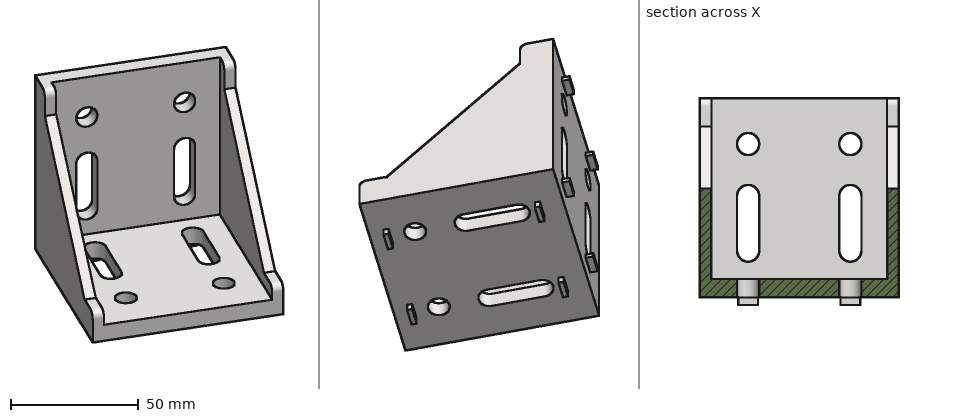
import cadquery as cq

overall_length = 81.0
leg_length = 78.0
width = 78.0
tab_height = overall_length - leg_length

plate_thickness = 7.3
wall_thickness = 4.6
wall_end_height = 13.4
slope_start = 66.9
corner_radius = 3.0

hole_diameter = 8.6
column_spacing = 40.0
hole_position = 60.0
slot_center = 29.0
slot_length = 30.0

tab_width = 7.8
tab_thickness = 2.0
tab_positions = (10.0, 70.9)

column_offsets = (-column_spacing / 2, column_spacing / 2)


def make_side_wall(start_y):
    """Gusset wall with blunt, rounded ends and a sloped edge."""
    wall = (
        cq.Workplane("XZ", origin=(0, start_y + wall_thickness, 0))
        .moveTo(0, 0)
        .lineTo(leg_length, 0)
        .lineTo(leg_length, wall_end_height - corner_radius)
        .radiusArc((leg_length - corner_radius, wall_end_height), -corner_radius)
        .lineTo(slope_start, wall_end_height)
        .lineTo(wall_end_height, slope_start)
        .lineTo(wall_end_height, leg_length - corner_radius)
        .radiusArc((wall_end_height - corner_radius, leg_length), -corner_radius)
        .lineTo(0, leg_length)
        .close()
        .extrude(wall_thickness)
    )
    return wall


def make_floor_plate():
    """Horizontal mounting plate with its holes and slots."""
    plate = cq.Workplane("XY").box(
        leg_length, width, plate_thickness, centered=(False, True, False)
    )
    holes = (
        cq.Workplane("XY")
        .pushPoints([(hole_position, y) for y in column_offsets])
        .circle(hole_diameter / 2)
        .extrude(plate_thickness)
    )
    slots = (
        cq.Workplane("XY")
        .pushPoints([(slot_center, y) for y in column_offsets])
        .slot2D(slot_length, hole_diameter)
        .extrude(plate_thickness)
    )
    return plate.cut(holes).cut(slots)


def make_floor_tabs():
    """Rectangular tabs projecting below the horizontal plate."""
    return (
        cq.Workplane("XY")
        .pushPoints([(x, y) for x in tab_positions for y in column_offsets])
        .rect(tab_thickness, tab_width)
        .extrude(-tab_height)
    )


def swap_legs(leg):
    """Mirror a horizontal leg across the plane X = Z to get the vertical leg."""
    return leg.rotate((0, 0, 0), (0, 1, 0), -90).mirror("YZ")


floor_plate = make_floor_plate()
floor_tabs = make_floor_tabs()

result = floor_plate.union(swap_legs(floor_plate))
for wall_start_y in (-width / 2, width / 2 - wall_thickness):
    result = result.union(make_side_wall(wall_start_y))
result = result.union(floor_tabs).union(swap_legs(floor_tabs))